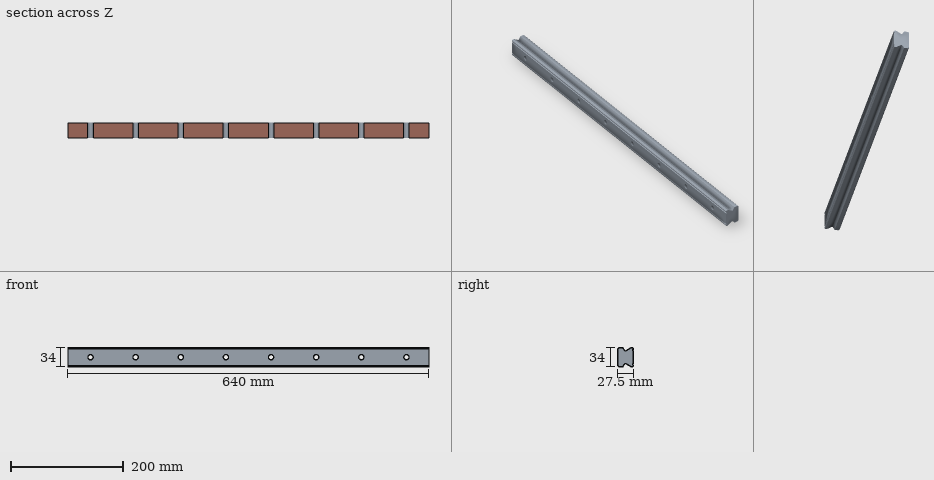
import cadquery as cq

length = 640.0
width = 27.5
height = 34.0

hole_count = 8
hole_pitch = length / hole_count
hole_diameter = 9.0

front_chamfer = 2.05
ball_groove_radius = 1.0
ball_groove_depth = 4.5
back_chamfer = 1.0
head_width = 4.0
shoulder_distance = 8.0
shoulder_depth = 2.1
groove_floor_start = 13.5
groove_floor_end = 15.0
groove_floor_depth = 6.0
groove_mouth_end = 18.5

back = width / 2
front = -width / 2
top = height / 2


def half_section():
    """Upper half of the rail cross-section, closed along the mid-height line."""
    ball_groove_center = top - ball_groove_depth
    groove_floor = top - groove_floor_depth
    return (
        cq.Workplane("YZ", origin=(-length / 2, 0, 0))
        .moveTo(back, 0)
        .lineTo(back, ball_groove_center - ball_groove_radius)
        .threePointArc(
            (back - ball_groove_radius, ball_groove_center),
            (back, ball_groove_center + ball_groove_radius),
        )
        .lineTo(back, top - back_chamfer)
        .lineTo(back - back_chamfer, top)
        .lineTo(back - head_width, top)
        .lineTo(back - shoulder_distance, top - shoulder_depth)
        .lineTo(back - groove_floor_start, groove_floor)
        .lineTo(back - groove_floor_end, groove_floor)
        .lineTo(back - groove_mouth_end, top)
        .lineTo(front + front_chamfer, top)
        .lineTo(front, top - front_chamfer)
        .lineTo(front, 0)
        .close()
    )


def rail_body():
    """Full rail: the upper half joined to its mirror image below."""
    upper = half_section().extrude(length)
    return upper.union(upper.mirror("XY")).clean()


def mounting_holes():
    """Evenly spaced through holes on the centreline of the rail."""
    return (
        cq.Workplane("XZ", origin=(0, back, 0))
        .rarray(hole_pitch, 6.5, hole_count, 1)
        .circle(hole_diameter / 2)
        .extrude(width)
    )


result = rail_body().cut(mounting_holes())